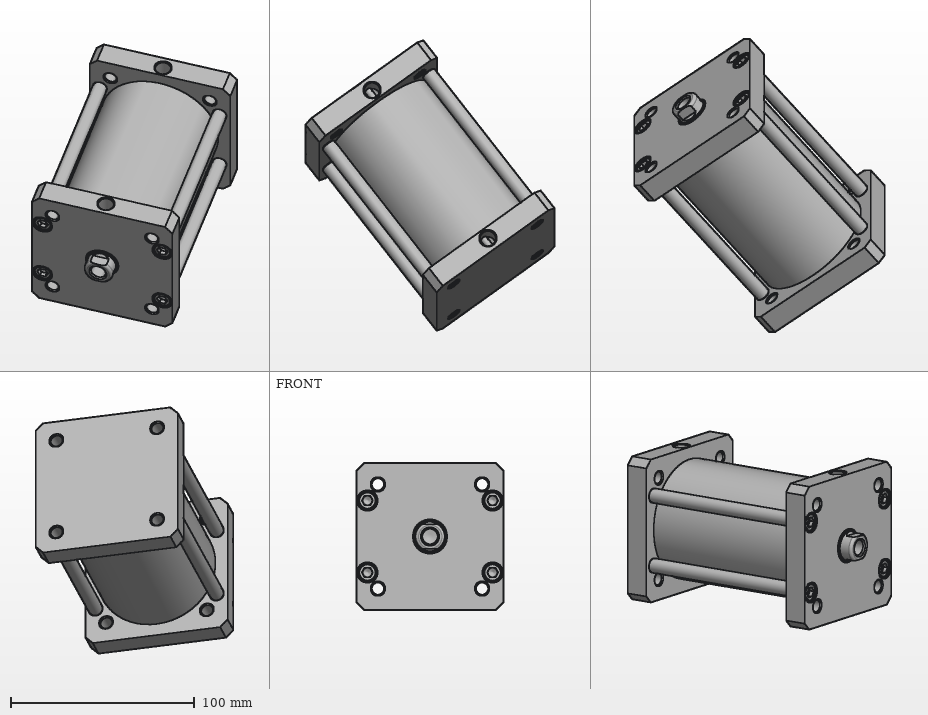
import cadquery as cq
import math

PLATE_SIZE = 80.0
TOTAL_LENGTH = 127.0
HEAD_THICKNESS = 12.6
ROD_PROTRUSION = 7.9
REAR_FACE_Y = TOTAL_LENGTH - ROD_PROTRUSION
TUBE_START_Y = HEAD_THICKNESS
TUBE_END_Y = REAR_FACE_Y - HEAD_THICKNESS

CORNER_CHAMFER = 4.2
MOUNT_HOLE_DIAMETER = 6.6
MOUNT_HOLE_MOUTH = 8.0
MOUNT_HOLE_OFFSET = 28.3

PORT_DIAMETER = 8.5
PORT_MOUTH = 9.7
PORT_DEPTH = 11.4
PORT_FROM_INNER_FACE = 5.6
DRILL_POINT_ANGLE = 118.0
PORT_BAR_DIAMETER = 4.0

TUBE_OUTER_DIAMETER = 66.4
TUBE_BORE = 63.0

ROD_DIAMETER = 16.0
ROD_TIP_FILLET = 1.7
ROD_FLAT_WIDTH = 13.2
ROD_RAMP_START = 0.9
ROD_HOLE_DIAMETER = 8.4
ROD_HOLE_MOUTH = 10.0
ROD_HOLE_POINT_ANGLE = 160.0
ROD_HOLE_DEPTH = 15.2

LIP_BASE_DIAMETER = 18.0
LIP_TIP_DIAMETER = 16.5
LIP_HEIGHT = 0.4
LIP_GROOVE_MOUTH = 18.7

TIE_X = 34.0
TIE_Z = 19.5
TIE_DIAMETER = 8.0
TIE_END_CHAMFER = 0.4
TIE_SPIGOT_DIAMETER = 5.0
TIE_SPIGOT_LENGTH = 7.6
SCREW_HEAD_DIAMETER = 10.0
SCREW_HEAD_HEIGHT = 5.0
SCREW_HEAD_CHAMFER = 0.6
SCREW_HEAD_RECESS = 0.5
COUNTERBORE_DIAMETER = 10.5
COUNTERBORE_MOUTH = 11.2
COUNTERBORE_DEPTH = SCREW_HEAD_RECESS + SCREW_HEAD_HEIGHT
SOCKET_WIDTH = 5.2
SOCKET_DEPTH = 2.5

TIE_POSITIONS = [(sx * TIE_X, sz * TIE_Z) for sx in (-1, 1) for sz in (-1, 1)]
MOUNT_POSITIONS = [
    (sx * MOUNT_HOLE_OFFSET, sz * MOUNT_HOLE_OFFSET) for sx in (-1, 1) for sz in (-1, 1)
]


def y_cylinder(diameter, y_start, y_end, x=0.0, z=0.0):
    """Cylinder along Y."""
    return cq.Workplane("XZ", origin=(x, y_start, z)).circle(diameter / 2).extrude(y_start - y_end)


def cone(start_diameter, end_diameter, height, base, direction):
    """Cone or truncated cone from a base point along a direction."""
    solid = cq.Solid.makeCone(
        start_diameter / 2, end_diameter / 2, height, cq.Vector(*base), cq.Vector(*direction)
    )
    return cq.Workplane(solid)


def mouth_chamfer(mouth, diameter, base, direction):
    """45 degree countersink that narrows from the mouth to the hole diameter."""
    return cone(mouth, diameter, (mouth - diameter) / 2, base, direction)


def drill_point(diameter, base, direction, point_angle=DRILL_POINT_ANGLE):
    """Conical bottom of a drilled hole."""
    height = diameter / 2 / math.tan(math.radians(point_angle / 2))
    return cone(diameter, 0, height, base, direction)


def head_blank(y_start):
    """Square plate with chamfered corners."""
    plate = cq.Workplane("XY").box(PLATE_SIZE, HEAD_THICKNESS, PLATE_SIZE)
    return plate.edges("|Y").chamfer(CORNER_CHAMFER).translate((0, y_start + HEAD_THICKNESS / 2, 0))


def cut_mount_holes(head, y_start):
    """Through holes at the corners, countersunk on both faces."""
    y_end = y_start + HEAD_THICKNESS
    for x, z in MOUNT_POSITIONS:
        head = head.cut(y_cylinder(MOUNT_HOLE_DIAMETER, y_start, y_end, x, z))
        head = head.cut(mouth_chamfer(MOUNT_HOLE_MOUTH, MOUNT_HOLE_DIAMETER, (x, y_start, z), (0, 1, 0)))
        head = head.cut(mouth_chamfer(MOUNT_HOLE_MOUTH, MOUNT_HOLE_DIAMETER, (x, y_end, z), (0, -1, 0)))
    return head


def cut_port(head, y_port):
    """Blind air port in the top edge, with a round bar left along Y across its conical bottom."""
    top = PLATE_SIZE / 2
    bottom = top - PORT_DEPTH
    bore = cq.Workplane("XY", origin=(0, y_port, bottom)).circle(PORT_DIAMETER / 2).extrude(PORT_DEPTH)
    bore = bore.union(drill_point(PORT_DIAMETER, (0, y_port, bottom), (0, 0, -1)))
    bar = y_cylinder(PORT_BAR_DIAMETER, y_port - PORT_DIAMETER, y_port + PORT_DIAMETER, 0, bottom)
    head = head.cut(bore.cut(bar))
    return head.cut(mouth_chamfer(PORT_MOUTH, PORT_DIAMETER, (0, y_port, top), (0, 0, -1)))


def add_rod_lip(head):
    """Conical lip that stands out of the front face inside a V groove."""
    groove = mouth_chamfer(LIP_GROOVE_MOUTH, LIP_BASE_DIAMETER, (0, 0, 0), (0, 1, 0))
    groove_depth = (LIP_GROOVE_MOUTH - LIP_BASE_DIAMETER) / 2
    lip = cone(LIP_BASE_DIAMETER, LIP_TIP_DIAMETER, LIP_HEIGHT, (0, 0, 0), (0, -1, 0))
    lip = lip.union(y_cylinder(LIP_BASE_DIAMETER, 0, groove_depth))
    return head.cut(groove).union(lip)


def make_front_head():
    head = cut_mount_holes(head_blank(0), 0)
    head = cut_port(head, HEAD_THICKNESS - PORT_FROM_INNER_FACE)
    head = add_rod_lip(head)
    head = head.cut(y_cylinder(ROD_DIAMETER, -LIP_HEIGHT, HEAD_THICKNESS))
    for x, z in TIE_POSITIONS:
        head = head.cut(y_cylinder(COUNTERBORE_DIAMETER, 0, COUNTERBORE_DEPTH, x, z))
        head = head.cut(mouth_chamfer(COUNTERBORE_MOUTH, COUNTERBORE_DIAMETER, (x, 0, z), (0, 1, 0)))
        head = head.cut(y_cylinder(TIE_SPIGOT_DIAMETER, 0, HEAD_THICKNESS, x, z))
    return head


def make_rear_head():
    head = cut_mount_holes(head_blank(TUBE_END_Y), TUBE_END_Y)
    head = cut_port(head, TUBE_END_Y + PORT_FROM_INNER_FACE)
    for x, z in TIE_POSITIONS:
        head = head.cut(y_cylinder(TIE_SPIGOT_DIAMETER, TUBE_END_Y, TUBE_END_Y + TIE_SPIGOT_LENGTH, x, z))
    return head


def make_tube():
    tube = y_cylinder(TUBE_OUTER_DIAMETER, TUBE_START_Y, TUBE_END_Y)
    return tube.cut(y_cylinder(TUBE_BORE, TUBE_START_Y, TUBE_END_Y))


def make_piston_rod():
    """Rod from its tip to the rear head, with wrench flats and a blind hole in the tip."""
    tip_y = -ROD_PROTRUSION
    rod = y_cylinder(ROD_DIAMETER, tip_y, TUBE_END_Y).faces("<Y").edges().fillet(ROD_TIP_FILLET)

    flat_z = ROD_FLAT_WIDTH / 2
    crest_z = ROD_DIAMETER / 2
    ramp_y = -ROD_RAMP_START
    upper_cut = (
        cq.Workplane("YZ")
        .moveTo(tip_y, flat_z)
        .lineTo(ramp_y - (crest_z - flat_z), flat_z)
        .lineTo(ramp_y, crest_z)
        .lineTo(tip_y, crest_z)
        .close()
        .extrude(ROD_DIAMETER / 2, both=True)
    )
    rod = rod.cut(upper_cut).cut(upper_cut.mirror("XY"))

    hole_end_y = tip_y + ROD_HOLE_DEPTH
    rod = rod.cut(y_cylinder(ROD_HOLE_DIAMETER, tip_y, hole_end_y))
    rod = rod.cut(drill_point(ROD_HOLE_DIAMETER, (0, hole_end_y, 0), (0, 1, 0), ROD_HOLE_POINT_ANGLE))
    return rod.cut(mouth_chamfer(ROD_HOLE_MOUTH, ROD_HOLE_DIAMETER, (0, tip_y, 0), (0, 1, 0)))


def make_tie_rod(x, z):
    """Tie rod with a socket head in the front head and a spigot in the rear head."""
    head_y = SCREW_HEAD_RECESS
    head = y_cylinder(SCREW_HEAD_DIAMETER, head_y, COUNTERBORE_DEPTH, x, z)
    head = head.faces("<Y").edges().chamfer(SCREW_HEAD_CHAMFER)
    shaft = y_cylinder(TIE_DIAMETER, TUBE_START_Y, TUBE_END_Y, x, z)
    shaft = shaft.edges("%CIRCLE").chamfer(TIE_END_CHAMFER)
    spigot = y_cylinder(TIE_SPIGOT_DIAMETER, COUNTERBORE_DEPTH, TUBE_END_Y + TIE_SPIGOT_LENGTH, x, z)
    tie_rod = head.union(spigot).union(shaft)

    corner_diameter = SOCKET_WIDTH / math.cos(math.radians(30))
    socket = cq.Workplane("XZ", origin=(x, head_y, z)).polygon(6, corner_diameter).extrude(-SOCKET_DEPTH)
    socket = socket.union(drill_point(SOCKET_WIDTH, (x, head_y + SOCKET_DEPTH, z), (0, 1, 0)))
    return tie_rod.cut(socket)


front_head = make_front_head()
rear_head = make_rear_head()
tube = make_tube()
piston_rod = make_piston_rod()
tie_rods = [make_tie_rod(x, z).val() for x, z in TIE_POSITIONS]

result = cq.Compound.makeCompound(
    [front_head.val(), rear_head.val(), tube.val(), piston_rod.val(), *tie_rods]
)